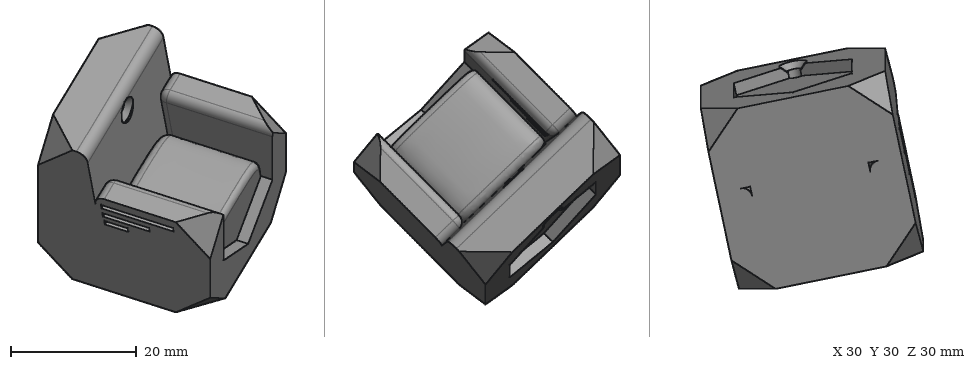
import cadquery as cq
import math

SIZE = 30.0
MIDDLE = SIZE / 2
CORNER_CUT = 6.0

WALL_FOOT = 12.87
WALL_TOP = 8.4
WALL_ROUND = 2.0

ARM_HEIGHT = 21.0
ARM_ROUND = 1.5

HEX_RADIUS = 11.1
HEX_DEPTH = 2.0
HEX_FLAT = HEX_RADIUS * math.cos(math.radians(30))
ARM_WIDTH = MIDDLE - HEX_FLAT

PAD_TOP = 14.3
PAD_SIDE_DROP = 2.25
CROWN_INSETS = [1.05, 2.9, 6.8]
PAD_BACK_ROUND = 1.5
PAD_FRONT_ROUND = 1.02

HOLE_HEIGHT = 26.2
HOLE_DIAMETER = 2.4
SINK_DIAMETER = 4.5
SINK_DEPTH = (SINK_DIAMETER - HOLE_DIAMETER) / 2

SLOTS = [(11.07, 12.57, 18.65), (11.3, 8.15, 16.85), (11.65, 4.08, 15.18)]
SLOT_HEIGHT = 0.78

LEAN = (WALL_FOOT - WALL_TOP) / SIZE


def wall_face(z):
    """X of the wall's leaning face at height z."""
    return WALL_FOOT - LEAN * z


def along_y(points, y_start, width):
    """Prism of an (x, z) outline running from y_start toward +Y."""
    return cq.Workplane("XZ", origin=(0, y_start, 0)).polyline(points).close().extrude(-width)


def leaning_block(x_end, y_start, width, height):
    """Block whose -X face lies in the plane of the wall's leaning face."""
    outline = [(wall_face(0), 0), (x_end, 0), (x_end, height), (wall_face(height), height)]
    return along_y(outline, y_start, width)


def make_wall():
    wall = along_y([(0, 0), (wall_face(0), 0), (WALL_TOP, SIZE), (0, SIZE)], 0, SIZE)
    top_edge = cq.selectors.NearestToPointSelector((WALL_TOP, MIDDLE, SIZE))
    return wall.edges(top_edge).fillet(WALL_ROUND)


def make_arm():
    """The -Y arm, rounded along its inner corner and the two top edges that meet there."""
    arm = leaning_block(SIZE, 0, ARM_WIDTH, ARM_HEIGHT)
    corner = (wall_face(ARM_HEIGHT / 2), ARM_WIDTH, ARM_HEIGHT / 2)
    arm = arm.edges(cq.selectors.NearestToPointSelector(corner)).fillet(ARM_ROUND)
    inner_edge = cq.selectors.NearestToPointSelector((MIDDLE, ARM_WIDTH, ARM_HEIGHT))
    return arm.edges(inner_edge).fillet(ARM_ROUND)


def make_pad():
    """Pad whose crown is a Bezier curve, almost flat on top and falling away toward the arms."""
    edge_height = PAD_TOP - PAD_SIDE_DROP
    near_controls = [(ARM_WIDTH + inset, PAD_TOP) for inset in CROWN_INSETS]
    far_controls = [(SIZE - y, z) for y, z in reversed(near_controls)]
    section = (
        cq.Workplane("YZ")
        .moveTo(ARM_WIDTH, 0)
        .lineTo(ARM_WIDTH, edge_height)
        .bezier(near_controls + far_controls + [(SIZE - ARM_WIDTH, edge_height)], includeCurrent=True)
        .lineTo(SIZE - ARM_WIDTH, 0)
        .close()
    )
    pad = section.extrude(SIZE - HEX_DEPTH)
    pad = pad.intersect(leaning_block(SIZE - HEX_DEPTH, 0, SIZE, SIZE))
    back_edge = cq.selectors.NearestToPointSelector((wall_face(PAD_TOP), MIDDLE, PAD_TOP))
    pad = pad.edges(back_edge).fillet(PAD_BACK_ROUND)
    return pad.faces(">X").edges(">Z").fillet(PAD_FRONT_ROUND)


def hexagon_prism(x_start, length):
    """Hexagonal prism along X with corners pointing up and down."""
    plane = cq.Workplane("YZ", origin=(x_start, MIDDLE, MIDDLE))
    return plane.transformed(rotate=(0, 0, 90)).polygon(6, 2 * HEX_RADIUS).extrude(length)


def make_hole():
    """Hole along X, countersunk at both faces of the wall."""
    exit_x = wall_face(HOLE_HEIGHT)
    reach = SINK_DIAMETER * LEAN
    hole_r = HOLE_DIAMETER / 2
    sink_r = SINK_DIAMETER / 2
    outline = [
        (0, 0), (0, sink_r), (SINK_DEPTH, hole_r), (exit_x - SINK_DEPTH, hole_r),
        (exit_x, sink_r), (exit_x + reach, sink_r), (exit_x + reach, 0),
    ]
    profile = cq.Workplane("XY").polyline(outline).close()
    return profile.revolve(360, (0, 0, 0), (1, 0, 0)).translate((0, MIDDLE, HOLE_HEIGHT))


def make_slot(x, length, z):
    """Slot through the -Y arm with ends parallel to the wall's leaning face."""
    shift = LEAN * SLOT_HEIGHT
    top = z + SLOT_HEIGHT
    outline = [(x, z), (x + length, z), (x + length - shift, top), (x - shift, top)]
    return along_y(outline, 0, ARM_WIDTH)


def corner_piece(x, y, z):
    """Tetrahedron that cuts off the outer corner at (x, y, z)."""
    corner = cq.Vector(x, y, z)
    along_x = corner + cq.Vector(math.copysign(CORNER_CUT, MIDDLE - x), 0, 0)
    along_y_side = corner + cq.Vector(0, math.copysign(CORNER_CUT, MIDDLE - y), 0)
    along_z = corner + cq.Vector(0, 0, math.copysign(CORNER_CUT, MIDDLE - z))
    points = [corner, along_x, along_y_side, along_z]
    faces = []
    for skipped in points:
        loop = [point for point in points if point is not skipped]
        faces.append(cq.Face.makeFromWires(cq.Wire.makePolygon(loop, close=True)))
    return cq.Workplane(cq.Solid.makeSolid(cq.Shell.makeShell(faces)))


near_arm = make_arm()
far_arm = near_arm.mirror("XZ", (0, MIDDLE, 0))
base = leaning_block(SIZE, ARM_WIDTH, 2 * HEX_FLAT, MIDDLE).cut(hexagon_prism(0, SIZE))
for slot in SLOTS:
    near_arm = near_arm.cut(make_slot(*slot))

result = make_wall().union(near_arm).union(far_arm).union(base).union(make_pad())
result = result.cut(hexagon_prism(0, HEX_DEPTH)).cut(make_hole())
for y in (0, SIZE):
    for x, z in [(0, 0), (0, SIZE), (SIZE, 0), (SIZE, ARM_HEIGHT)]:
        result = result.cut(corner_piece(x, y, z))